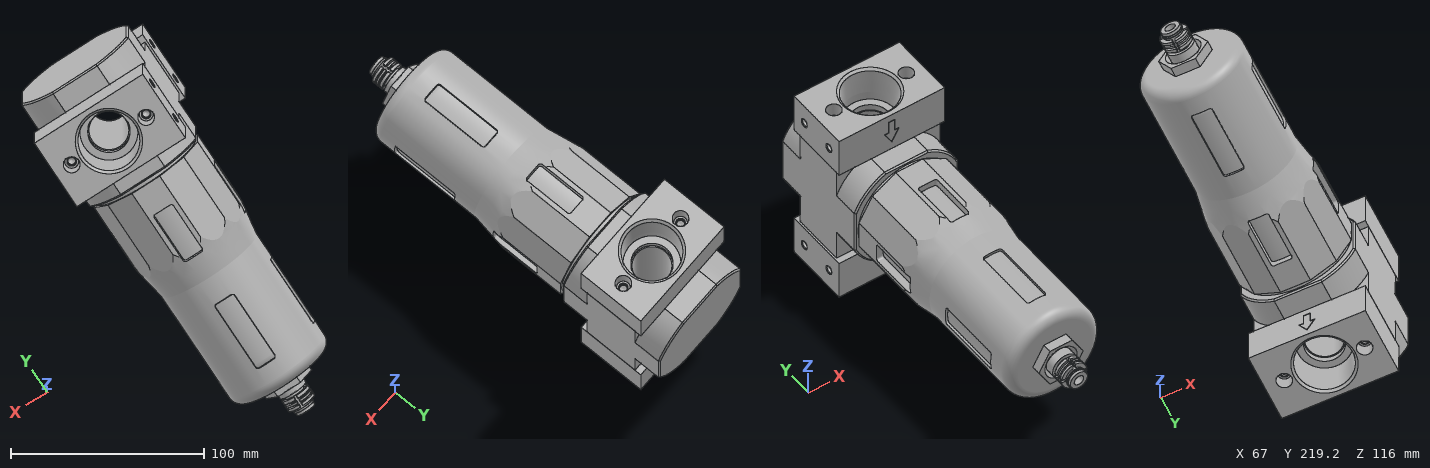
import cadquery as cq
import math


housing_rear_y = 109.6
housing_front_y = 44.0
housing_half = 32.9
housing_flat_half_width = 13.5
housing_radius = math.hypot(housing_half, housing_flat_half_width)
housing_end_chamfer = 0.9
neck_diameter = 62.0
port_y = (housing_rear_y + housing_front_y) / 2
port_block_half_length = 16.2
housing_bore_diameter = 20.5

flange_width = 67.0
flange_middle_x = -0.55
flange_left_x = flange_middle_x - flange_width / 2
flange_right_x = flange_middle_x + flange_width / 2
flange_half_length = 20.2
flange_inner_z = housing_half
flange_span = 116.0
flange_outer_z = flange_span / 2
flange_middle_z = (flange_inner_z + flange_outer_z) / 2
port_mouth_diameter = 34.9
port_mouth_depth = 1.3
port_taper_diameter = 32.0
port_taper_depth = 16.2
port_socket_diameter = 30.0
port_socket_depth = 21.3
port_bore_diameter = 22.0
side_hole_mouth_diameter = 5.3
side_hole_depth = 4.4
side_hole_offset = 11.0
drill_diameter = 4.2
drill_mouth_depth = 0.5
drill_point_half_angle = 59.0

arrow_length = 15.3
arrow_head_length = 7.7
arrow_head_width = 9.0
arrow_shaft_width = 3.7
arrow_depth = 0.2

screw_offset = 23.0
screw_pocket_diameter = 8.5
screw_pocket_depth = 13.2
screw_head_diameter = 7.2
screw_head_height = 5.5
screw_shank_diameter = 6.0
screw_engagement = 8.8
socket_mouth_diameter = 5.0
socket_depth = 2.2

guard_rear_y = 41.9
guard_front_y = -88.1
guard_sides = 12
guard_apothem = 32.0
guard_radius = 29.5
cone_front_y = -18.0
cone_half_angle = 9.5
guard_edge_radius = 6.1
window_width = 11.8
window_corner_radius = 1.3
upper_window_y = (-3.7, 26.0)
lower_window_y = (-72.3, -31.8)
hexagon_sides = 6
hexagon_across_flats = 24.3
hexagon_front_y = -93.5
drain_recess_diameter = 20.4
drain_recess_depth = 2.0

bowl_radius = 28.0
bowl_edge_y = -70.2
bowl_edge_radius = 6.5
bowl_front_y = bowl_edge_y - bowl_edge_radius

drain_front_y = -109.6
drain_hub_diameter = 16.0
drain_hub_front_y = -97.3
drain_neck_diameter = 11.6
drain_rib_y = ((-100.8, -99.0), (-103.0, -102.0), (-105.5, -104.0))
drain_slot_width = 1.5
drain_stem_diameter = 11.0
drain_collar_y = (-107.9, -106.8)
drain_collar_diameter = 11.8
drain_hole_diameter = 6.0
drain_hole_depth = 6.5


def cylinder_y(diameter, y_front, y_rear):
    """Cylinder on the main axis."""
    return cq.Workplane("XZ", origin=(0, y_rear, 0)).circle(diameter / 2).extrude(y_rear - y_front)


def box(x_range, y_range, z_range):
    """Box between the given limits."""
    size = [high - low for low, high in (x_range, y_range, z_range)]
    corner = (x_range[0], y_range[0], z_range[0])
    return cq.Workplane("XY").box(*size, centered=False).translate(corner)


def drill(mouth_diameter, depth, start, direction):
    """Blind drilled hole with a chamfered mouth and a conical point, as a cutting tool."""
    radius = drill_diameter / 2
    tip_depth = depth + radius / math.tan(math.radians(drill_point_half_angle))
    profile = [
        (0, 0),
        (mouth_diameter / 2, 0),
        (radius, drill_mouth_depth),
        (radius, depth),
        (0, tip_depth),
    ]
    tool = (
        cq.Workplane("XZ")
        .polyline(profile)
        .close()
        .revolve(360, (0, 0, 0), (0, 1, 0))
        .val()
    )
    plane = cq.Plane(origin=start, normal=direction)
    return cq.Workplane(tool.moved(cq.Location(plane)))


def screw_places():
    """(x, side) of every flange screw; side is +1 on the top flange and -1 on the bottom one."""
    return [(x, side) for side in (1, -1) for x in (-screw_offset, screw_offset)]


def on_side(shape, side):
    """Leave a shape at the top, or turn it about the main axis to the bottom."""
    return shape if side > 0 else shape.rotate((0, 0, 0), (0, 1, 0), 180)


def make_screw(x):
    """Socket-head screw at the top flange, pointing down."""
    head_seat_z = flange_outer_z - screw_pocket_depth
    head_top_z = head_seat_z + screw_head_height
    shank_length = head_seat_z - flange_inner_z + screw_engagement
    screw = (
        cq.Workplane("XY", origin=(x, port_y, head_seat_z))
        .circle(screw_head_diameter / 2)
        .extrude(screw_head_height)
        .faces("<Z")
        .workplane()
        .circle(screw_shank_diameter / 2)
        .extrude(shank_length)
    )
    return screw.cut(drill(socket_mouth_diameter, socket_depth, (x, port_y, head_top_z), (0, 0, -1)))


def make_housing():
    """Round housing with four flats, a square port block and a neck towards the guard."""
    drum = cylinder_y(2 * housing_radius, housing_front_y, housing_rear_y)
    across = (-housing_half, housing_half)
    flats = box(across, (housing_front_y, housing_rear_y), across)
    drum = drum.intersect(flats).faces("<Y or >Y").chamfer(housing_end_chamfer)
    block_y = (port_y - port_block_half_length, port_y + port_block_half_length)
    block = box(across, block_y, across)
    neck = cylinder_y(neck_diameter, guard_rear_y, housing_front_y)
    port = (
        cq.Workplane("XY", origin=(0, port_y, -housing_half))
        .circle(housing_bore_diameter / 2)
        .extrude(2 * housing_half)
    )
    housing = drum.union(block).union(neck).cut(port)
    for x, side in screw_places():
        hole = (
            cq.Workplane("XY", origin=(x, port_y, housing_half - screw_engagement))
            .circle(screw_shank_diameter / 2)
            .extrude(screw_engagement)
        )
        housing = housing.cut(on_side(hole, side))
    return housing


def flow_arrow(side):
    """Arrow pointing down, as a shallow cutting tool in the front face of a flange."""
    tip_z = side * flange_middle_z - arrow_length / 2
    head_z = tip_z + arrow_head_length
    tail_z = tip_z + arrow_length
    head = arrow_head_width / 2
    shaft = arrow_shaft_width / 2
    outline = [
        (0, tip_z), (head, head_z), (shaft, head_z), (shaft, tail_z),
        (-shaft, tail_z), (-shaft, head_z), (-head, head_z),
    ]
    face_y = port_y - flange_half_length
    plane = cq.Workplane("XZ", origin=(flange_middle_x, face_y, 0))
    return plane.polyline(outline).close().extrude(-arrow_depth)


def port_cavity():
    """Stepped port of the top flange: chamfered mouth, taper, socket, through bore."""
    socket_bottom_z = flange_outer_z - port_socket_depth
    profile = [
        (0, flange_inner_z),
        (port_bore_diameter / 2, flange_inner_z),
        (port_bore_diameter / 2, socket_bottom_z),
        (port_socket_diameter / 2, socket_bottom_z),
        (port_socket_diameter / 2, flange_outer_z - port_taper_depth),
        (port_taper_diameter / 2, flange_outer_z - port_mouth_depth),
        (port_mouth_diameter / 2, flange_outer_z),
        (0, flange_outer_z),
    ]
    cavity = cq.Workplane("XZ").polyline(profile).close().revolve(360, (0, 0, 0), (0, 1, 0))
    return cavity.translate((0, port_y, 0))


def screw_pocket(x):
    """Head pocket and shank hole of the top flange."""
    seat_z = flange_outer_z - screw_pocket_depth
    pocket = (
        cq.Workplane("XY", origin=(x, port_y, seat_z))
        .circle(screw_pocket_diameter / 2)
        .extrude(screw_pocket_depth)
    )
    shank_hole = (
        cq.Workplane("XY", origin=(x, port_y, flange_inner_z))
        .circle(screw_shank_diameter / 2)
        .extrude(seat_z - flange_inner_z)
    )
    return pocket.union(shank_hole)


def make_flange(side):
    """Port flange on the top (+1) or bottom (-1) of the housing."""
    flange_y = (port_y - flange_half_length, port_y + flange_half_length)
    flange_z = sorted((side * flange_inner_z, side * flange_outer_z))
    flange = box((flange_left_x, flange_right_x), flange_y, flange_z)
    flange = flange.cut(on_side(port_cavity(), side))
    for x in (-screw_offset, screw_offset):
        flange = flange.cut(on_side(screw_pocket(x), side))
    for offset in (-side_hole_offset, side_hole_offset):
        start = (flange_left_x, port_y + offset, side * flange_middle_z)
        flange = flange.cut(drill(side_hole_mouth_diameter, side_hole_depth, start, (1, 0, 0)))
    return flange.cut(flow_arrow(side))


def guard_envelope():
    """Outer shape of the guard turned about the main axis: cone, cylinder, rounded front edge."""
    cone_slope = math.tan(math.radians(cone_half_angle))
    cone_rear_radius = guard_radius + cone_slope * (guard_rear_y - cone_front_y)
    bend = guard_edge_radius * math.sqrt(0.5)
    edge_x = guard_radius - guard_edge_radius
    edge_y = guard_front_y + guard_edge_radius
    return (
        cq.Workplane("XY")
        .moveTo(0, guard_rear_y)
        .lineTo(cone_rear_radius, guard_rear_y)
        .lineTo(guard_radius, cone_front_y)
        .lineTo(guard_radius, edge_y)
        .threePointArc((edge_x + bend, edge_y - bend), (edge_x, guard_front_y))
        .lineTo(0, guard_front_y)
        .close()
        .revolve(360, (0, 0, 0), (0, 1, 0))
    )


def window_cutters():
    """Round-cornered windows through the top wall of the guard."""
    cutters = []
    for front_y, rear_y in (upper_window_y, lower_window_y):
        cutter = (
            cq.Workplane("XY", origin=(0, (front_y + rear_y) / 2, 0))
            .rect(window_width, rear_y - front_y)
            .extrude(2 * guard_radius)
            .edges("|Z")
            .fillet(window_corner_radius)
        )
        cutters.append(cutter)
    return cutters


def make_bowl():
    """Sight bowl filling the guard, with a rounded front edge."""
    bowl = cylinder_y(2 * bowl_radius, bowl_front_y, guard_rear_y)
    return bowl.faces("<Y").edges().fillet(bowl_edge_radius)


def make_guard(bowl):
    """Twelve-sided grip running through a cone into a cylinder, with windows and a hexagon."""
    prism = (
        cq.Workplane("XZ", origin=(0, guard_rear_y, 0))
        .polygon(guard_sides, 2 * guard_apothem, circumscribed=True)
        .extrude(guard_rear_y - guard_front_y)
    )
    hexagon = (
        cq.Workplane("XZ", origin=(0, guard_front_y, 0))
        .polygon(hexagon_sides, hexagon_across_flats, circumscribed=True)
        .extrude(guard_front_y - hexagon_front_y)
        .rotate((0, 0, 0), (0, 1, 0), 180 / hexagon_sides)
    )
    drain_hole = cylinder_y(drain_hub_diameter, hexagon_front_y, bowl_front_y)
    recess = (
        cq.Workplane("XZ", origin=(0, hexagon_front_y, 0))
        .circle(drain_recess_diameter / 2)
        .workplane(offset=-drain_recess_depth)
        .circle(drain_hub_diameter / 2)
        .loft()
    )
    guard = guard_envelope().intersect(prism).union(hexagon)
    guard = guard.cut(bowl).cut(drain_hole).cut(recess)
    for cutter in window_cutters():
        for angle in (0, 90, 180, 270):
            guard = guard.cut(cutter.rotate((0, 0, 0), (0, 1, 0), angle))
    return guard


def slotted_rib(front_y, rear_y):
    """Ring around the drain stem, split by four slots in line with X and Z."""
    rib = cylinder_y(drain_hub_diameter, front_y, rear_y)
    half_slot = drain_slot_width / 2
    slot = box((-half_slot, half_slot), (front_y, rear_y), (-drain_hub_diameter, drain_hub_diameter))
    return rib.cut(slot).cut(slot.rotate((0, 0, 0), (0, 1, 0), 90))


def make_drain():
    """Drain valve: hub, ribbed stem and collar, with a blind outlet hole."""
    drain = cylinder_y(drain_hub_diameter, drain_hub_front_y, bowl_front_y)
    drain = drain.union(cylinder_y(drain_neck_diameter, drain_rib_y[0][1], drain_hub_front_y))
    drain = drain.union(cylinder_y(drain_stem_diameter, drain_front_y, drain_rib_y[0][1]))
    for front_y, rear_y in drain_rib_y:
        drain = drain.union(slotted_rib(front_y, rear_y))
    drain = drain.union(cylinder_y(drain_collar_diameter, *drain_collar_y))
    return drain.cut(cylinder_y(drain_hole_diameter, drain_front_y, drain_front_y + drain_hole_depth))


housing = make_housing()
flanges = [make_flange(side) for side in (1, -1)]
screws = [on_side(make_screw(x), side) for x, side in screw_places()]
bowl = make_bowl()
guard = make_guard(bowl)
drain = make_drain()

result = cq.Compound.makeCompound([
    housing.val(),
    *[flange.val() for flange in flanges],
    *[screw.val() for screw in screws],
    bowl.val(),
    guard.val(),
    drain.val(),
])